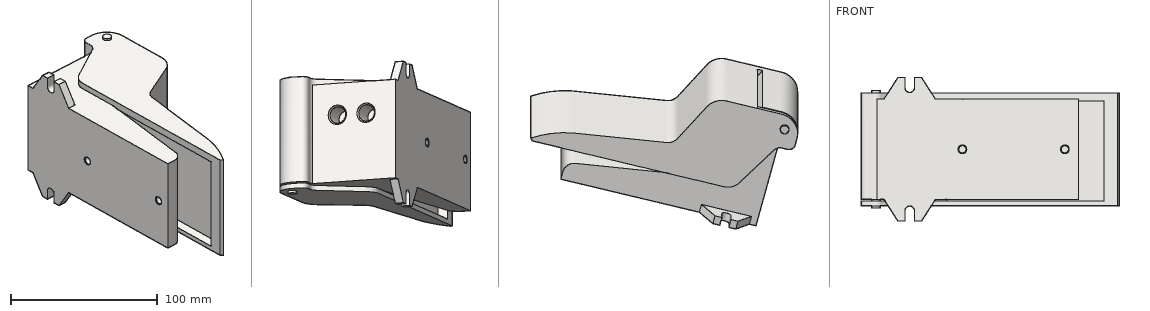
import cadquery as cq

length = 176.0
total_depth = 85.5
total_height = 98.0
pedal_half_width = 38.5
sole_y = 24.1
heel_y = 61.5
hinge_corner_x = 11.6
sole_start_x = 33.3
ridge_end_x = 61.8
step_x, step_y = 81.0, 46.5
nose_x, nose_y = 150.0, 36.6
nose_mid = (164.0, 32.4)
tip_y = 25.9
tip_bevel = 1.4
hinge_top_radius = 15.0
hinge_heel_radius = 4.4
hinge_inner_radius = 5.6
sole_radius = 10.5
ridge_radius = 13.2
step_radius = 8.8

pocket_top_z = 33.0
pocket_bottom_z = -35.2
pocket_end_x = 165.5
pocket_floor_y = 30.8
pocket_slope_foot_x = 58.5

base_half_width = 34.1
base_left_x = 10.7
base_right_x = 148.2
base_end_y = 12.8
base_nose_radius = 8.0
clearance = 1.0
base_slope_foot_x = pocket_slope_foot_x - clearance

pin_diameter = 6.0
pin_x, pin_y = 10.0, 75.5
pin_half_length = 40.1

ear_thickness = 6.0
ear_half_height = total_height / 2
ear_center_x = 33.0
ear_root_half_width = 17.6
ear_tip_half_width = 8.1
slot_width = 6.3
slot_depth = 10.2

screw_diameter = 5.0
screw_mouth_diameter = 6.0
screw_depth = 10.5
screw_xs = (69.0, 138.9)
cable_diameter = 11.5
cable_mouth_diameter = 13.4
cable_depth = 17.6
cable_ys = (21.6, 42.8)
cable_z = 12.3

ridge_run_per_rise = (step_x - ridge_end_x) / (total_depth - step_y)
tread_slope = (step_y - nose_y) / (nose_x - step_x)


def extrude_between(outline, z_low, z_high):
    """Extrude an XY outline from z_low to z_high."""
    return outline.extrude(z_high - z_low).translate((0, 0, z_low))


def round_edge(body, x, y, radius):
    """Round the Z-parallel edge nearest to (x, y)."""
    edge = body.edges("|Z").edges(cq.selectors.NearestToPointSelector((x, y, 0)))
    return edge.fillet(radius)


def pedal_block():
    """Solid pedal, full width, with its corners rounded."""
    outline = (
        cq.Workplane("XY")
        .moveTo(0, heel_y)
        .lineTo(hinge_corner_x, heel_y)
        .lineTo(sole_start_x, sole_y)
        .lineTo(length - tip_bevel, sole_y)
        .lineTo(length, tip_y)
        .threePointArc(nose_mid, (nose_x, nose_y))
        .lineTo(step_x, step_y)
        .lineTo(ridge_end_x, total_depth)
        .lineTo(0, total_depth)
        .close()
    )
    block = extrude_between(outline, -pedal_half_width, pedal_half_width)
    for x, y, radius in (
        (0, heel_y, hinge_heel_radius),
        (hinge_corner_x, heel_y, hinge_inner_radius),
        (sole_start_x, sole_y, sole_radius),
        (step_x, step_y, step_radius),
        (ridge_end_x, total_depth, ridge_radius),
        (0, total_depth, hinge_top_radius),
    ):
        block = round_edge(block, x, y, radius)
    return block


def pedal_pocket():
    """Space cut out of the pedal; its inner slope is parallel to the upper slope."""
    slope_top_x = pocket_slope_foot_x - ridge_run_per_rise * (total_depth - pocket_floor_y)
    outline = cq.Workplane("XY").polyline([
        (0, 0),
        (pocket_end_x, 0),
        (pocket_end_x, pocket_floor_y),
        (pocket_slope_foot_x, pocket_floor_y),
        (slope_top_x, total_depth),
        (0, total_depth),
    ]).close()
    return extrude_between(outline, pocket_bottom_z, pocket_top_z)


def base_body(pedal_shape):
    """Wedge-shaped base whose rear column fills the hinge end of the pedal."""
    foot_y = base_end_y + tread_slope * (base_right_x - base_slope_foot_x)
    slope_top_x = base_slope_foot_x - ridge_run_per_rise * (total_depth - foot_y)
    wedge_outline = cq.Workplane("XY").polyline([
        (base_left_x, 0),
        (base_right_x, 0),
        (base_right_x, base_end_y),
        (base_slope_foot_x, foot_y),
        (base_slope_foot_x - ridge_run_per_rise * (heel_y - foot_y), heel_y),
        (base_left_x, heel_y),
    ]).close()
    wedge = extrude_between(wedge_outline, -base_half_width, base_half_width)
    wedge = round_edge(wedge, base_right_x, base_end_y, base_nose_radius)

    column_outline = cq.Workplane("XY").polyline([
        (0, foot_y),
        (base_slope_foot_x, foot_y),
        (slope_top_x, total_depth),
        (0, total_depth),
    ]).close()
    column = extrude_between(column_outline, -base_half_width, base_half_width)
    return wedge.union(column.intersect(pedal_shape))


def mounting_ears():
    """Plate with a slotted, tapered ear above and below the base."""
    plate = cq.Workplane("XZ").polyline([
        (ear_center_x - ear_root_half_width, -base_half_width),
        (ear_center_x - ear_tip_half_width, -ear_half_height),
        (ear_center_x + ear_tip_half_width, -ear_half_height),
        (ear_center_x + ear_root_half_width, -base_half_width),
        (ear_center_x + ear_root_half_width, base_half_width),
        (ear_center_x + ear_tip_half_width, ear_half_height),
        (ear_center_x - ear_tip_half_width, ear_half_height),
        (ear_center_x - ear_root_half_width, base_half_width),
    ]).close().extrude(-ear_thickness)
    slots = (
        cq.Workplane("XZ")
        .pushPoints([(ear_center_x, -ear_half_height), (ear_center_x, ear_half_height)])
        .slot2D(2 * slot_depth, slot_width, 90)
        .extrude(-ear_thickness)
    )
    return plate.cut(slots)


def chamfered_hole(start, direction, diameter, mouth_diameter, depth):
    """Tool for a blind hole with a 45-degree chamfer at its mouth."""
    chamfer = (mouth_diameter - diameter) / 2
    origin = cq.Vector(*start)
    axis = cq.Vector(*direction)
    bore = cq.Solid.makeCylinder(diameter / 2, depth, origin, axis)
    mouth = cq.Solid.makeCone(mouth_diameter / 2, diameter / 2, chamfer, origin, axis)
    return cq.Workplane(bore).union(cq.Workplane(mouth))


block = pedal_block()
base = base_body(block).union(mounting_ears())
for screw_x in screw_xs:
    base = base.cut(chamfered_hole(
        (screw_x, 0, 0), (0, 1, 0), screw_diameter, screw_mouth_diameter, screw_depth))
for cable_y in cable_ys:
    base = base.cut(chamfered_hole(
        (base_left_x, cable_y, cable_z), (1, 0, 0), cable_diameter, cable_mouth_diameter, cable_depth))

pin = (
    cq.Workplane("XY", origin=(pin_x, pin_y, -pin_half_length))
    .circle(pin_diameter / 2)
    .extrude(2 * pin_half_length)
)

result = block.cut(pedal_pocket()).union(base).union(pin)